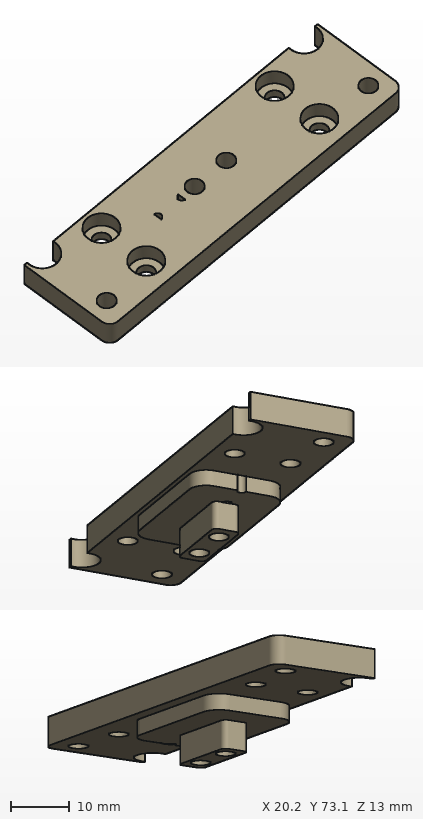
import cadquery as cq

plate_width = 20.2
plate_length = 73.1
plate_thickness = 5.1
plate_corner_radius = 2.0

boss_center_x = 9.3
pad_width = 16.8
pad_length = 26.3
pad_depth = 2.85
pad_corner_radius = 3.15
key_width = 5.0
key_length = 14.5
key_depth = 5.05
key_corner_radius = 0.95

hole_diameter = 3.4
counterbore_diameter = 6.5
counterbore_depth = 3.3
screw_spacing_x = 10.5
screw_spacing_y = 43.1
center_hole_spacing = 7.9
end_spacing = 65.2
end_hole_x = 15.65
notch_center_x = 0.5
notch_diameter = 6.5

passage_radius = 0.8
key_passage_y = -7.2
pad_passage_y = -pad_length / 2


def rounded_block(width, length, depth, corner_radius, top_z):
    """Block on the boss axis, hanging down from top_z."""
    return (
        cq.Workplane("XY", origin=(boss_center_x, 0, top_z))
        .rect(width, length)
        .extrude(-depth)
        .edges("|Z")
        .fillet(corner_radius)
    )


def through_cylinders(points, diameter):
    """Round vertical cutters spanning the plate and the pad."""
    return (
        cq.Workplane("XY", origin=(0, 0, -pad_depth))
        .pushPoints(points)
        .circle(diameter / 2)
        .extrude(pad_depth + plate_thickness)
    )


def half_round_passage(flat_y, bulge):
    """Half-round cutter; bulge is +1 or -1 for the Y side it curves toward."""
    return (
        cq.Workplane("XY", origin=(boss_center_x, flat_y, -pad_depth))
        .moveTo(-passage_radius, 0)
        .threePointArc((0, bulge * passage_radius), (passage_radius, 0))
        .close()
        .extrude(pad_depth + plate_thickness)
    )


plate = (
    cq.Workplane("XY")
    .center(plate_width / 2, 0)
    .rect(plate_width, plate_length)
    .extrude(plate_thickness)
    .edges("|Z and >X")
    .fillet(plate_corner_radius)
)
pad = rounded_block(pad_width, pad_length, pad_depth, pad_corner_radius, 0)
key = rounded_block(key_width, key_length, key_depth, key_corner_radius, -pad_depth)

screw_points = [
    (boss_center_x + side * screw_spacing_x / 2, end * screw_spacing_y / 2)
    for side in (-1, 1)
    for end in (-1, 1)
]
counterbores = (
    cq.Workplane("XY", origin=(0, 0, plate_thickness))
    .pushPoints(screw_points)
    .circle(counterbore_diameter / 2)
    .extrude(-counterbore_depth)
)

end_points = [(end_hole_x, end * end_spacing / 2) for end in (-1, 1)]
center_points = [(boss_center_x, end * center_hole_spacing / 2) for end in (-1, 1)]
center_holes = (
    cq.Workplane("XY", origin=(0, 0, plate_thickness))
    .pushPoints(center_points)
    .circle(hole_diameter / 2)
    .extrude(-(plate_thickness + pad_depth + key_depth))
)

notch_points = [(notch_center_x, end * end_spacing / 2) for end in (-1, 1)]

result = (
    plate.union(pad)
    .union(key)
    .cut(through_cylinders(screw_points + end_points, hole_diameter))
    .cut(through_cylinders(notch_points, notch_diameter))
    .cut(counterbores)
    .cut(center_holes)
    .cut(half_round_passage(key_passage_y, -1))
    .cut(half_round_passage(pad_passage_y, 1))
)